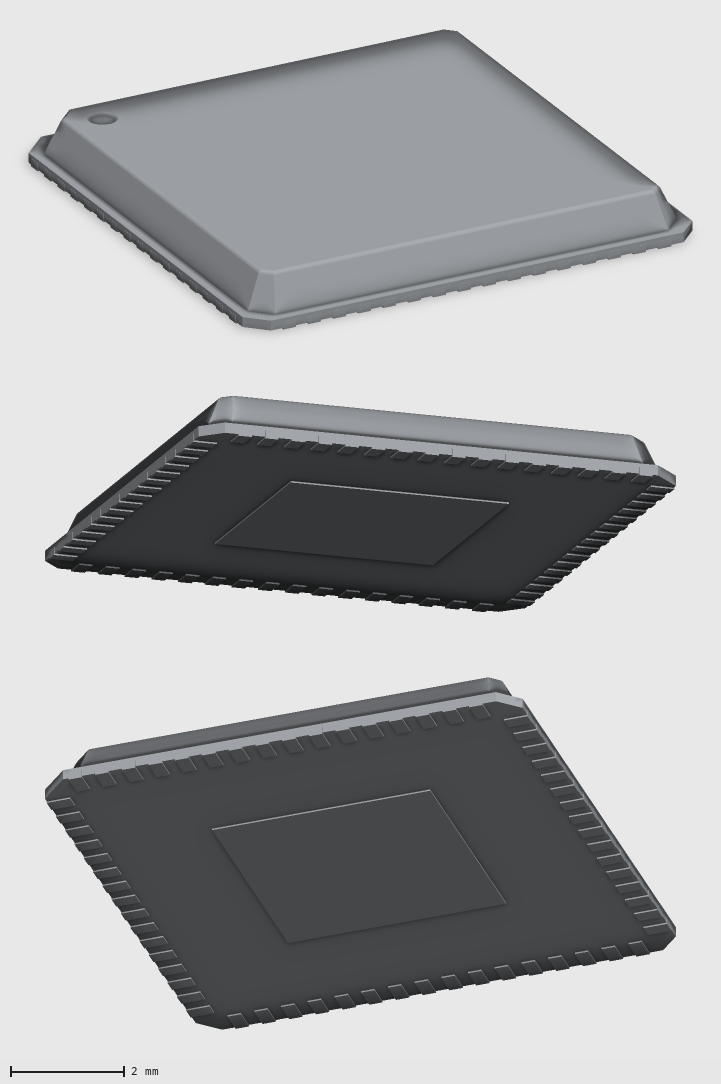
import cadquery as cq
import math

package_size = 9.0
package_height = 0.9

pad_side_step = 0.005
pad_standoff = 0.03
board_size = package_size - 2 * pad_side_step
board_top = 0.22
board_corner = 0.37
board_pin1_corner = 0.52

cap_margin = 0.21
cap_size = package_size - 2 * cap_margin
cap_height = package_height - board_top
cap_top_inset = 0.3
cap_taper = math.degrees(math.atan(cap_top_inset / cap_height))
cap_corner = 0.36
cap_pin1_corner = 0.5
cap_edge_radius = 0.1

pad_count = 16
pad_pitch = 0.5
pad_width = 0.25
pad_length = 0.44
pad_height = 0.15

thermal_pad_size = 4.08

dimple_position = (-3.35, -3.35)
dimple_top_radius = 0.285
dimple_floor_radius = 0.21
dimple_depth = 0.04


def chamfered_square(size, corner, pin1_corner, z):
    """Square outline at height z, cut more deeply at the pin 1 corner (-X, -Y)."""
    half = size / 2
    points = [
        (-half + pin1_corner, -half),
        (half - corner, -half),
        (half, -half + corner),
        (half, half - corner),
        (half - corner, half),
        (-half + corner, half),
        (-half, half - corner),
        (-half, -half + pin1_corner),
    ]
    return cq.Workplane("XY", origin=(0, 0, z)).polyline(points).close()


def make_board():
    outline = chamfered_square(board_size, board_corner, board_pin1_corner, pad_standoff)
    return outline.extrude(board_top - pad_standoff)


def make_cap():
    outline = chamfered_square(cap_size, cap_corner, cap_pin1_corner, board_top)
    cap = outline.extrude(cap_height, taper=cap_taper)
    return cap.faces(">Z").edges().fillet(cap_edge_radius)


def make_edge_pads():
    """Four rows of pads, one along each side."""
    row_y = -(package_size - pad_length) / 2
    row = (
        cq.Workplane("XY", origin=(0, row_y, 0))
        .rarray(pad_pitch, 1, pad_count, 1)
        .rect(pad_width, pad_length)
        .extrude(pad_height)
    )
    pads = []
    for angle in (0, 90, 180, 270):
        pads += row.rotate((0, 0, 0), (0, 0, 1), angle).solids().vals()
    return pads


def make_thermal_pad():
    return cq.Workplane("XY").rect(thermal_pad_size, thermal_pad_size).extrude(pad_height)


def make_dimple():
    floor = cq.Workplane("XY", origin=(*dimple_position, package_height - dimple_depth))
    return (
        floor.circle(dimple_floor_radius)
        .workplane(offset=dimple_depth)
        .circle(dimple_top_radius)
        .loft()
    )


board = make_board().val().fuse(*make_edge_pads())
result = cq.Workplane(board).union(make_thermal_pad()).union(make_cap()).cut(make_dimple())